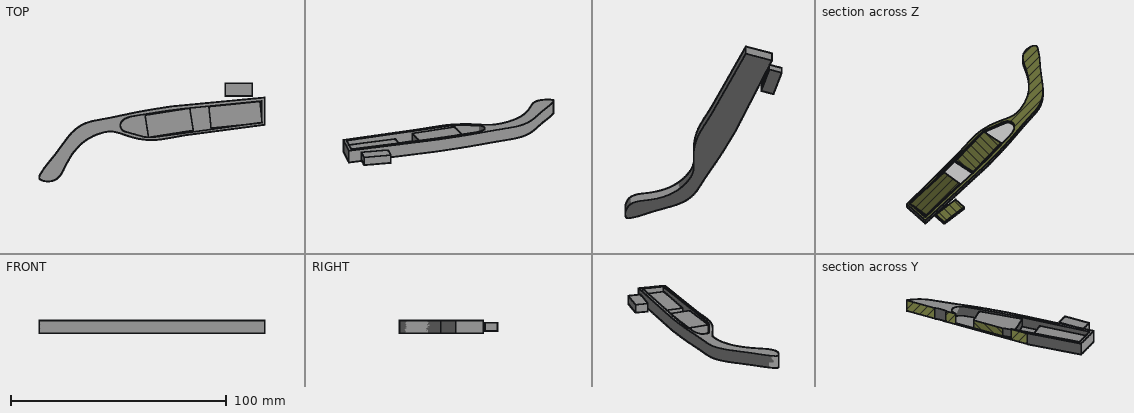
import cadquery as cq


ARM_THICKNESS = 6.0
END_HEIGHT = 12.75
OUTER_BEND = (-43.2, 8.65)
INNER_BEND = (-37.2, -4.9)
OUTER_CURVE = [(-60.0, 5.85), (-75.0, 2.75), (-82.5, 1.1), (-87.5, -1.7)]
HOOK_BACK = [(-92.0, -6.4), (-98.2, -14.8), (-104.3, -23.0)]
HOOK_TIP = [(-104.78, -24.25), (-99.6, -26.24), (-95.15, -23.75)]
INNER_CURVE = [
    (-92.0, -18.0),
    (-85.4, -9.0),
    (-78.74, -4.8),
    (-70.2, -3.2),
    (-63.6, -5.2),
    (-54.0, -7.1),
]
OUTER_BEND_DIRECTION = (-1.0, -0.155)
INNER_BEND_DIRECTION = (1.0, 0.16)

FLOOR_THICKNESS = 1.0
END_WALL = 1.4
POCKET_OUTER_CORNER = (-END_WALL, 11.1)
POCKET_INNER_CORNER = (-END_WALL, 1.15)
POCKET_OUTER_BEND = (-38.4, 7.45)
POCKET_INNER_BEND = (-50.0, -5.55)
POCKET_NOSE = [(-60.0, 4.25), (-65.0, 2.8), (-67.1, 0.0), (-65.0, -3.1)]
POCKET_BELLY_START = (-56.5, -5.45)

REAR_MODULE_SIZE = (21.0, 10.4, 4.2)
REAR_MODULE_CORNER = (-54.0, -5.8)
REAR_MODULE_ANGLE = 8.9
FRONT_MODULE_SIZE = (23.8, 10.0, 2.6)
FRONT_MODULE_CORNER = (-25.0, -1.5)
FRONT_MODULE_ANGLE = 5.8

BLOCK_SIZE = (12.7, 6.0, 4.0)
BLOCK_CORNER = (-18.5, 13.36)


def direction(start, end):
    return (end[0] - start[0], end[1] - start[1])


def arm_body():
    rounded_part = OUTER_CURVE + HOOK_BACK + HOOK_TIP + INNER_CURVE + [INNER_BEND]
    return (
        cq.Workplane("XY")
        .moveTo(0, 0)
        .lineTo(0, END_HEIGHT)
        .lineTo(*OUTER_BEND)
        .spline(
            rounded_part,
            tangents=[OUTER_BEND_DIRECTION, INNER_BEND_DIRECTION],
            includeCurrent=True,
        )
        .close()
        .extrude(ARM_THICKNESS)
    )


def pocket():
    outer_direction = direction(POCKET_OUTER_CORNER, POCKET_OUTER_BEND)
    belly_direction = direction(POCKET_NOSE[-1], POCKET_BELLY_START)
    inner_direction = direction(POCKET_INNER_BEND, POCKET_INNER_CORNER)
    return (
        cq.Workplane("XY")
        .workplane(offset=FLOOR_THICKNESS)
        .moveTo(*POCKET_INNER_CORNER)
        .lineTo(*POCKET_OUTER_CORNER)
        .lineTo(*POCKET_OUTER_BEND)
        .spline(POCKET_NOSE, tangents=[outer_direction, belly_direction], includeCurrent=True)
        .lineTo(*POCKET_BELLY_START)
        .spline(
            [POCKET_INNER_BEND],
            tangents=[belly_direction, inner_direction],
            includeCurrent=True,
        )
        .close()
        .extrude(ARM_THICKNESS - FLOOR_THICKNESS)
    )


def module(size, corner, angle):
    return (
        cq.Workplane("XY")
        .box(*size, centered=False)
        .rotate((0, 0, 0), (0, 0, 1), angle)
        .translate((*corner, FLOOR_THICKNESS))
    )


rear_module = module(REAR_MODULE_SIZE, REAR_MODULE_CORNER, REAR_MODULE_ANGLE)
front_module = module(FRONT_MODULE_SIZE, FRONT_MODULE_CORNER, FRONT_MODULE_ANGLE)
arm = arm_body().cut(pocket()).cut(rear_module).cut(front_module)
block = (
    cq.Workplane("XY")
    .box(*BLOCK_SIZE, centered=False)
    .translate((*BLOCK_CORNER, (ARM_THICKNESS - BLOCK_SIZE[2]) / 2))
)

result = cq.Compound.makeCompound([arm.val(), rear_module.val(), front_module.val(), block.val()])